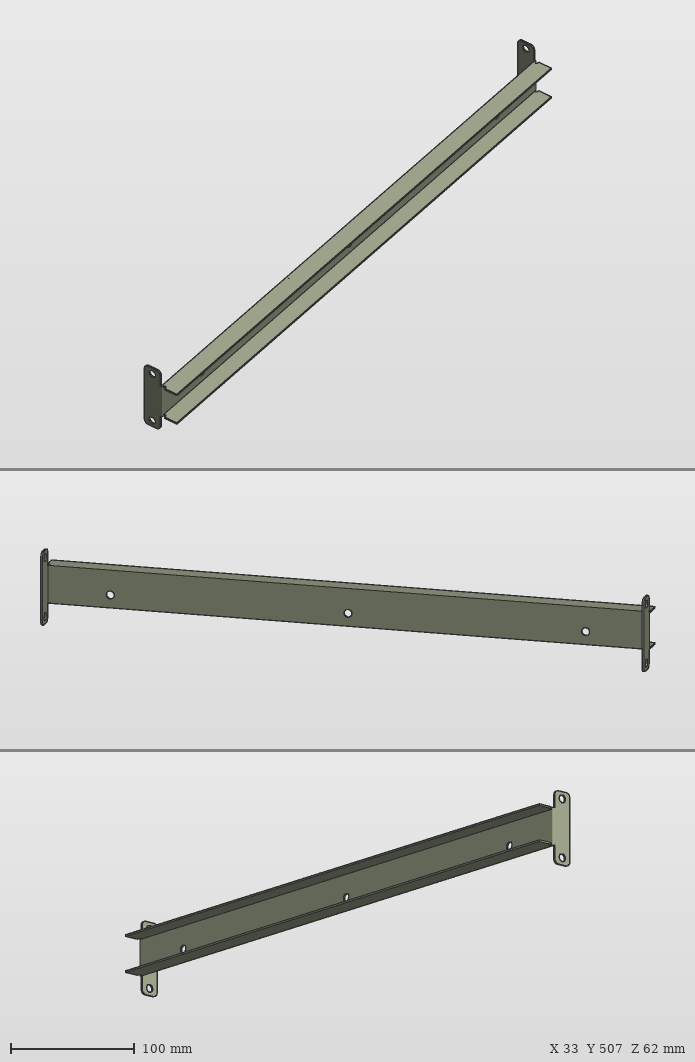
import cadquery as cq

length = 507.0
width = 33.0
tab_height = 62.0

sheet = 1.5
web_x = 16.5
channel_height = 32.0
bend_radius = 1.5

tab_width = 16.0
tab_corner_radius = 4.0
tab_hole_diameter = 6.5
tab_hole_spacing = 49.5

relief_width = 2.0
relief_corner_radius = 0.75
relief_depth = 2.5

web_hole_diameter = 6.5
web_hole_pitch = 200.0
web_hole_z = -5.0


def make_box(x_start, x_end, y_size, z_size):
    """Box between two X positions, centred on Y and Z."""
    return cq.Workplane("XY").box(
        x_end - x_start, y_size, z_size, centered=(False, True, True)
    ).translate((x_start, 0, 0))


def make_channel():
    web_inner_x = web_x + sheet
    channel = make_box(web_x, width, length, channel_height)
    cavity = make_box(web_inner_x, width, length, channel_height - 2 * sheet)
    channel = channel.cut(cavity)
    relief = make_box(web_inner_x, web_inner_x + relief_width, 2 * relief_depth, channel_height)
    relief = relief.edges("|Z").fillet(relief_corner_radius)
    for end in (-1, 1):
        channel = channel.cut(relief.translate((0, end * length / 2, 0)))
    return channel


def make_tab():
    """Upright end plate with rounded corners and two holes, at the -Y end."""
    plate = make_box(0, tab_width, sheet, tab_height).edges("|Y").fillet(tab_corner_radius)
    neck = make_box(tab_width / 2, web_x + sheet, sheet, channel_height)
    holes = (
        cq.Workplane("XZ", origin=(tab_width / 2, 0, 0))
        .pushPoints([(0, -tab_hole_spacing / 2), (0, tab_hole_spacing / 2)])
        .circle(tab_hole_diameter / 2)
        .extrude(sheet, both=True)
    )
    return plate.union(neck).cut(holes).translate((0, (sheet - length) / 2, 0))


def make_fold_trim():
    """Material outside the rounded fold at the -Y end."""
    fold_x = web_x + sheet
    end_y = -length / 2
    corner = (
        cq.Workplane("XY", origin=(0, 0, -channel_height / 2))
        .moveTo(fold_x - bend_radius, end_y)
        .lineTo(fold_x, end_y)
        .lineTo(fold_x, end_y + bend_radius)
        .radiusArc((fold_x - bend_radius, end_y), bend_radius)
        .close()
        .extrude(channel_height)
    )
    return corner


def make_web_holes():
    return (
        cq.Workplane("YZ", origin=(web_x, 0, web_hole_z))
        .pushPoints([(step * web_hole_pitch, 0) for step in (-1, 0, 1)])
        .circle(web_hole_diameter / 2)
        .extrude(sheet)
    )


tab = make_tab()
fold_trim = make_fold_trim()
result = make_channel().union(tab).union(tab.mirror("XZ"))
result = result.cut(fold_trim).cut(fold_trim.mirror("XZ")).cut(make_web_holes())